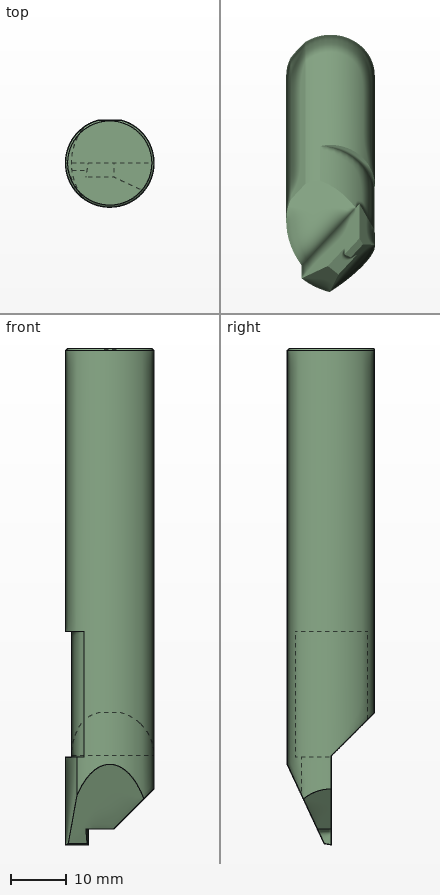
import cadquery as cq
import math

shank_diameter = 15.875
shank_radius = shank_diameter / 2
overall_length = 88.9
end_chamfer = 0.4

hollow_bottom = 15.75
hollow_top = 38.2
hollow_depth = 1.07
hollow_half_width = 6.45

face_height = 16.0
face_runout_angle = 45

tip_thickness = 1.2
front_clearance_angle = 25

side_clearance_end_y = -5.35

nose_width = 4.1
nose_height = 2.85
corner_angle = 45
corner_start_height = 10.05
nose_relief_angle = 10

flat_depth = 0.26

cut_margin = 10.0
far = shank_radius + cut_margin


def make_shank():
    bar = cq.Workplane("XY").circle(shank_radius).extrude(overall_length)
    return bar.faces(">Z").chamfer(end_chamfer)


def extrude_along_x(points):
    """Prism through the whole part from an outline in the YZ plane."""
    return cq.Workplane("YZ").polyline(points).close().extrude(far, both=True)


def make_locating_flat():
    flat_y = shank_radius - flat_depth
    return extrude_along_x(
        [
            (flat_y, -cut_margin),
            (far, -cut_margin),
            (far, overall_length + cut_margin),
            (flat_y, overall_length + cut_margin),
        ]
    )


def make_hollow():
    """Arc-bottomed hollow that meets the shank surface at both long edges."""
    edge_x = -math.sqrt(shank_radius**2 - hollow_half_width**2)
    floor_x = hollow_depth - shank_radius
    return (
        cq.Workplane("XY", origin=(0, 0, hollow_bottom))
        .moveTo(edge_x, hollow_half_width)
        .threePointArc((floor_x, 0), (edge_x, -hollow_half_width))
        .lineTo(-far, -hollow_half_width)
        .lineTo(-far, hollow_half_width)
        .close()
        .extrude(hollow_top - hollow_bottom)
    )


def make_face_cut():
    runout_rise = far * math.tan(math.radians(face_runout_angle))
    return extrude_along_x(
        [
            (0, -cut_margin),
            (0, face_height),
            (far, face_height + runout_rise),
            (far, -cut_margin),
        ]
    )


def make_front_clearance():
    slope = math.tan(math.radians(front_clearance_angle))
    return extrude_along_x(
        [
            (-tip_thickness + cut_margin * slope, -cut_margin),
            (-far, -cut_margin),
            (-far, (far - tip_thickness) / slope),
        ]
    )


def make_side_clearance():
    end_x = -math.sqrt(shank_radius**2 - side_clearance_end_y**2)
    return (
        cq.Workplane("XY")
        .moveTo(-shank_radius, 0)
        .lineTo(end_x, side_clearance_end_y)
        .lineTo(-far, side_clearance_end_y)
        .lineTo(-far, 0)
        .close()
        .extrude(hollow_bottom)
    )


def make_corner_cut():
    """Removes the end below the nose shoulder and the slanted +X corner."""
    corner_slope = math.tan(math.radians(corner_angle))
    corner_x = shank_radius - (corner_start_height - nose_height) / corner_slope
    shoulder_x = nose_width - shank_radius
    return (
        cq.Workplane("XZ")
        .moveTo(shoulder_x, -cut_margin)
        .lineTo(shoulder_x, nose_height)
        .lineTo(corner_x, nose_height)
        .lineTo(far, corner_start_height + cut_margin * corner_slope)
        .lineTo(far, -cut_margin)
        .close()
        .extrude(far, both=True)
    )


def make_nose_wall_relief():
    """Leans the +X wall of the nose inward toward -Y."""
    shoulder_x = nose_width - shank_radius
    lean = far * math.tan(math.radians(nose_relief_angle))
    return (
        cq.Workplane("XY")
        .polyline([(shoulder_x, 0), (shoulder_x - lean, -far), (shoulder_x, -far)])
        .close()
        .extrude(nose_height)
    )


def make_end_relief():
    """Raises the bottom of the nose toward -Y."""
    rise = far * math.tan(math.radians(nose_relief_angle))
    return extrude_along_x([(0, 0), (-far, rise), (-far, 0)])


result = make_shank()
for cutter in (
    make_locating_flat(),
    make_hollow(),
    make_face_cut(),
    make_front_clearance(),
    make_side_clearance(),
    make_corner_cut(),
    make_nose_wall_relief(),
    make_end_relief(),
):
    result = result.cut(cutter)